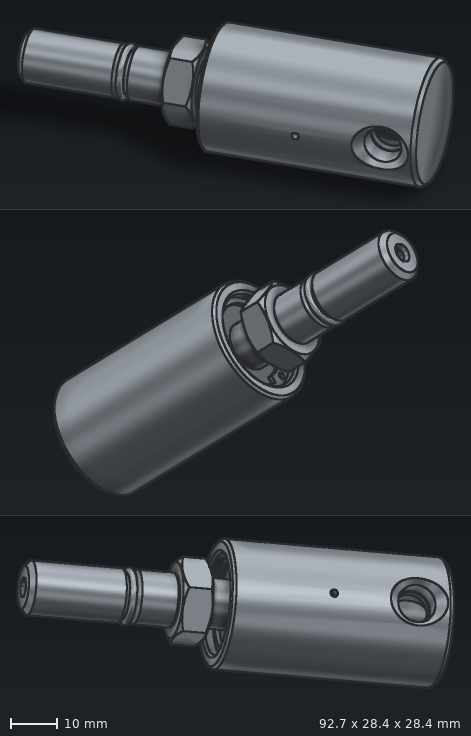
import cadquery as cq
import math

total_length = 92.7

shaft_dia = 12.0
shaft_tip_chamfer = 1.3
neck_dia = 11.0
bore_dia = 3.2
bore_mouth_dia = 4.3
bore_mouth_depth = 1.1
bore_depth = 18.5

seal_x = 23.2
seal_wire_dia = 1.6
seal_outer_dia = 12.6
groove_start = 21.5
groove_end = 25.0
groove_depth = 1.2

nut_start = 33.55
nut_length = 6.8
nut_across_flats = 16.9
nut_face_dia = 16.5
nut_chamfer_angle = 30.0

body_start = 43.1
body_dia = 28.4
body_front_chamfer = 0.65
body_rear_chamfer_length = 1.0
body_rear_chamfer_depth = 0.8
recess_dia = 22.1
recess_mouth_dia = 23.3
recess_depth = 3.9

ring_front = 2.4
ring_thickness = 1.0
ring_inner_dia = 19.4
ear_hole_dia = 1.6
ear_hole_y = -8.9
ear_hole_z = 3.9
ear_inner_dia = 15.9
ear_tip_z = 2.0
ear_end_angle = 44.0

port_x = 84.7
port_mouth_dia = 12.8
port_thread_dia = 8.3
port_thread_depth = 6.8
port_drill_dia = 8.0
port_drill_depth = 8.8
port_tip_angle = 118.0
core_dia = 11.0
vent_x = 65.6
vent_dia = 1.6
vent_depth = 2.8

shaft_radius = shaft_dia / 2
neck_radius = neck_dia / 2
body_radius = body_dia / 2
recess_floor = body_start + recess_depth


def revolve_about_x(points):
    """Solid of revolution from (x, radius) points."""
    return cq.Workplane("XY").polyline(points).close().revolve(360, (0, 0, 0), (1, 0, 0))


def cylinder_along_x(diameter, start, length):
    return cq.Workplane("YZ", origin=(start, 0, 0)).circle(diameter / 2).extrude(length)


def revolve_about_port(points):
    """Solid of revolution from (radius, depth) points, bored from the -Y side."""
    profile = [(port_x + radius, depth - body_radius) for radius, depth in points]
    axis_start = (port_x, -body_radius)
    axis_end = (port_x, 0)
    return cq.Workplane("XY").polyline(profile).close().revolve(360, axis_start, axis_end)


def make_spindle():
    groove_radius = shaft_radius - groove_depth
    spindle = revolve_about_x([
        (0, 0),
        (0, shaft_radius - shaft_tip_chamfer),
        (shaft_tip_chamfer, shaft_radius),
        (groove_start, shaft_radius),
        (groove_start + groove_depth, groove_radius),
        (groove_end - groove_depth, groove_radius),
        (groove_end, shaft_radius),
        (nut_start - shaft_radius + neck_radius, shaft_radius),
        (nut_start, neck_radius),
        (recess_floor, neck_radius),
        (recess_floor, 0),
    ])
    wire_radius = seal_wire_dia / 2
    ring_radius = seal_outer_dia / 2 - wire_radius
    seal = (
        cq.Workplane("XY")
        .center(seal_x, ring_radius)
        .circle(wire_radius)
        .revolve(360, (0, -ring_radius, 0), (1, -ring_radius, 0))
    )
    return spindle.union(seal)


def make_nut():
    corner_radius = nut_across_flats / math.sqrt(3)
    hexagon = (
        cq.Workplane("YZ", origin=(nut_start, 0, 0))
        .polygon(6, 2 * corner_radius)
        .extrude(nut_length)
    )
    face_radius = nut_face_dia / 2
    corner_drop = (corner_radius - face_radius) * math.tan(math.radians(nut_chamfer_angle))
    nut_end = nut_start + nut_length
    turned_envelope = revolve_about_x([
        (nut_start, 0),
        (nut_start, face_radius),
        (nut_start + corner_drop, corner_radius),
        (nut_end - corner_drop, corner_radius),
        (nut_end, face_radius),
        (nut_end, 0),
    ])
    return hexagon.intersect(turned_envelope)


def make_housing():
    recess_radius = recess_dia / 2
    mouth_radius = recess_mouth_dia / 2
    return revolve_about_x([
        (recess_floor, 0),
        (recess_floor, recess_radius),
        (body_start + mouth_radius - recess_radius, recess_radius),
        (body_start, mouth_radius),
        (body_start, body_radius - body_front_chamfer),
        (body_start + body_front_chamfer, body_radius),
        (total_length - body_rear_chamfer_length, body_radius),
        (total_length, body_radius - body_rear_chamfer_depth),
        (total_length, 0),
    ])


def make_retaining_ring():
    plane = cq.Workplane("YZ", origin=(body_start + ring_front, 0, 0))

    def disc(diameter):
        return plane.circle(diameter / 2).extrude(ring_thickness)

    reach = recess_dia
    half_width = reach * math.tan(math.radians(ear_end_angle))
    ear_sector = (
        plane.polyline([(0, 0), (-reach, half_width), (-reach, -half_width)])
        .close()
        .extrude(ring_thickness)
    )
    ears = ear_sector.cut(disc(ear_inner_dia))
    opening = disc(ring_inner_dia).cut(ears)
    gap = plane.center(-reach / 2, 0).rect(reach, 2 * ear_tip_z).extrude(ring_thickness)
    holes = (
        plane.pushPoints([(ear_hole_y, ear_hole_z), (ear_hole_y, -ear_hole_z)])
        .circle(ear_hole_dia / 2)
        .extrude(ring_thickness)
    )
    return disc(recess_mouth_dia).cut(opening).cut(gap).cut(holes)


def make_spindle_bore():
    bore_radius = bore_dia / 2
    mouth_radius = bore_mouth_dia / 2
    return revolve_about_x([
        (0, 0),
        (0, mouth_radius),
        (bore_mouth_depth, bore_radius),
        (bore_depth, bore_radius),
        (bore_depth, 0),
    ])


def make_port():
    mouth_radius = port_mouth_dia / 2
    thread_radius = port_thread_dia / 2
    drill_radius = port_drill_dia / 2
    tip_length = drill_radius / math.tan(math.radians(port_tip_angle / 2))
    port = revolve_about_port([
        (0, 0),
        (mouth_radius, 0),
        (thread_radius, mouth_radius - thread_radius),
        (thread_radius, port_thread_depth),
        (drill_radius, port_thread_depth),
        (drill_radius, port_drill_depth),
        (0, port_drill_depth + tip_length),
    ])
    core = cylinder_along_x(core_dia, recess_floor, total_length - recess_floor)
    return port.cut(core)


def make_vent():
    return (
        cq.Workplane("XZ", origin=(vent_x, -body_radius, 0))
        .circle(vent_dia / 2)
        .extrude(-vent_depth)
    )


result = (
    make_housing()
    .union(make_spindle())
    .union(make_nut())
    .union(make_retaining_ring())
    .cut(make_spindle_bore())
    .cut(make_port())
    .cut(make_vent())
)